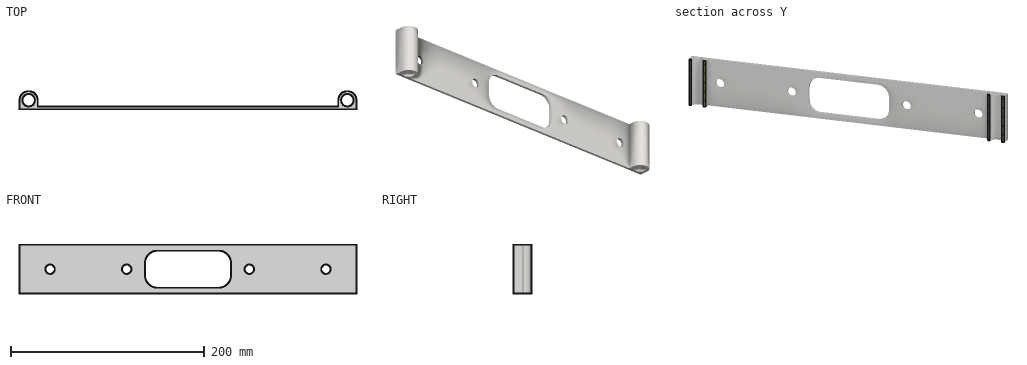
import cadquery as cq

plate_length = 349.25
plate_height = 50.8
plate_thickness = 3.175

barrel_diameter = 19.05
barrel_bore_diameter = 12.7
barrel_radius = barrel_diameter / 2
barrel_offset = plate_length / 2 - barrel_radius

window_length = 88.9
window_height = 38.1
window_corner_radius = 12.7

mounting_hole_diameter = 9.525
inner_hole_offset = 63.5
outer_hole_offset = 142.875


def make_plate():
    """Plate with its front face on Y = 0 and its middle at X = Z = 0."""
    return cq.Workplane("XY").box(
        plate_length, plate_thickness, plate_height, centered=(True, False, True)
    )


def make_barrel(center_x):
    """Upright rounded lug: square at the plate face, half round at the back."""
    return (
        cq.Workplane("XY")
        .workplane(offset=-plate_height / 2)
        .moveTo(center_x - barrel_radius, 0)
        .lineTo(center_x + barrel_radius, 0)
        .lineTo(center_x + barrel_radius, barrel_radius)
        .threePointArc((center_x, barrel_diameter), (center_x - barrel_radius, barrel_radius))
        .close()
        .extrude(plate_height)
    )


def make_barrel_bore(center_x):
    """Round bore running the full height of a barrel."""
    return (
        cq.Workplane("XY")
        .workplane(offset=-plate_height / 2)
        .center(center_x, barrel_radius)
        .circle(barrel_bore_diameter / 2)
        .extrude(plate_height)
    )


def make_window():
    """Rounded rectangular opening through the plate."""
    return (
        cq.Workplane("XY")
        .box(window_length, plate_thickness, window_height, centered=(True, False, True))
        .edges("|Y")
        .fillet(window_corner_radius)
    )


def make_mounting_holes():
    """Four holes through the plate along its middle line."""
    hole_centers = [
        (side * offset, 0)
        for side in (-1, 1)
        for offset in (inner_hole_offset, outer_hole_offset)
    ]
    return (
        cq.Workplane("XZ")
        .pushPoints(hole_centers)
        .circle(mounting_hole_diameter / 2)
        .extrude(-plate_thickness)
    )


result = make_plate()
for barrel_x in (-barrel_offset, barrel_offset):
    result = result.union(make_barrel(barrel_x)).cut(make_barrel_bore(barrel_x))
result = result.cut(make_window()).cut(make_mounting_holes())